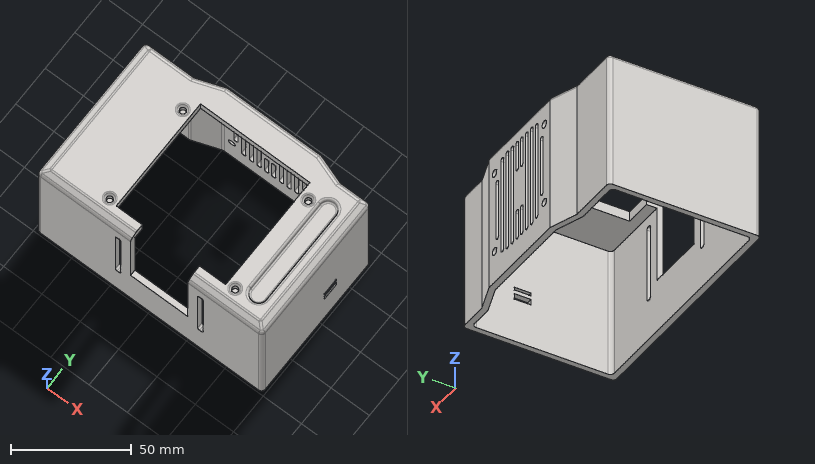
import cadquery as cq

WIDTH = 117.76
DEPTH = 78.15
HEIGHT = 68.0
WALL = 3.0
SIDE_WALL = 2.8
ROOF = 5.0
EDGE_RADIUS = 2.0

CENTRE_X = 5.0
BULGE_RISE = 4.8
BULGE_TOP_HALF = 24.5
BULGE_BASE_HALF = 38.3
BULGE_INNER_RADIUS = 4.0
BACK_Y = DEPTH - BULGE_RISE

BEVEL_DROP = 2.0
BEVEL_RUN = 4.0
REAR_BEVEL = 2.0

WINDOW_SIZE = 57.0
WINDOW_FRONT_Y = 8.0
NOTCH_WIDTH = 29.8
NOTCH_SILL_Z = 26.1

SCREW_DIAMETER = 3.0
SCREW_DEPTH = 4.0
SCREW_CHAMFER = 1.2
SCREW_RIM_RADIUS = 0.9
SCREW_PITCH_X = 65.5
SCREW_PITCH_Y = 49.5
SCREW_CENTRE_Y = 33.75

TRAY_X = 46.7
TRAY_CENTRE_Y = 36.8
TRAY_WIDTH = 8.1
TRAY_LENGTH = 55.1
TRAY_DEPTH = 2.1
TRAY_RIM_RADIUS = 1.2
TRAY_FLOOR_RADIUS = 0.8

FRONT_SLOT_WIDTH = 2.8
FRONT_SLOT_CORNER_RADIUS = 1.0
FRONT_SLOT_OFFSET = 21.5
FRONT_SLOT_BOTTOM = 20.1
FRONT_SLOT_TOP = 57.8

FAN_Z = 35.8
FAN_HOLE_DIAMETER = 3.5
FAN_HOLE_PITCH = 40.0
GRILLE_SLOT_WIDTH = 2.1
HUB_SLOT_OFFSET = 1.8
HUB_SLOT_INNER = 10.1
HUB_SLOT_OUTER = 24.8
GRILLE_SLOTS = [(5.8, 24.8), (9.8, 24.8), (13.8, 24.0), (17.9, 14.9)]

PORT_FRONT_Y = 42.0
PORT_BACK_Y = 50.0
PORT_LEVELS = [(21.6, 24.3), (26.2, 27.6)]


def block(x0, x1, y0, y1, z0, z1):
    """Axis-aligned box between two corners."""
    return cq.Workplane("XY").box(x1 - x0, y1 - y0, z1 - z0, centered=False).translate((x0, y0, z0))


def plan_outline(inset=0, side_inset=0):
    """Plan of the box with its rear bulge; front and rear move inwards by inset, sides by side_inset."""
    half = WIDTH / 2 - side_inset
    back = BACK_Y - inset
    return (
        cq.Workplane("XY")
        .moveTo(-half, inset)
        .lineTo(half, inset)
        .lineTo(half, back)
        .lineTo(CENTRE_X + BULGE_BASE_HALF, back)
        .lineTo(CENTRE_X + BULGE_TOP_HALF, back + BULGE_RISE)
        .lineTo(CENTRE_X - BULGE_TOP_HALF, back + BULGE_RISE)
        .lineTo(CENTRE_X - BULGE_BASE_HALF, back)
        .lineTo(-half, back)
        .close()
    )


def bevel_cutter(length):
    """Wedge that bevels the roof edge above the plane Y = 0, running along X."""
    return (
        cq.Workplane("YZ")
        .moveTo(0, HEIGHT - BEVEL_DROP)
        .lineTo(BEVEL_RUN, HEIGHT)
        .lineTo(0, HEIGHT)
        .close()
        .extrude(length / 2, both=True)
    )


def make_body():
    """Outer block with the bevel round its roof and rounded outer edges."""
    body = plan_outline().extrude(HEIGHT)
    rear_roof_edges = cq.selectors.BoxSelector(
        (-WIDTH, BACK_Y - EDGE_RADIUS, HEIGHT - ROOF), (WIDTH, DEPTH + EDGE_RADIUS, HEIGHT + ROOF)
    )
    body = body.faces(">Z").edges(rear_roof_edges).chamfer(REAR_BEVEL)

    body = body.cut(bevel_cutter(WIDTH))
    for side in (-1, 1):
        side_cutter = bevel_cutter(2 * DEPTH).rotate((0, 0, 0), (0, 0, 1), side * 90)
        body = body.cut(side_cutter.translate((side * WIDTH / 2, DEPTH / 2, 0)))

    def is_rounded(edge):
        centre = edge.Center()
        is_bottom = centre.z < EDGE_RADIUS
        near_side = abs(centre.x) > WIDTH / 2 - BEVEL_RUN
        is_vertical_or_hip = edge.BoundingBox().zlen > EDGE_RADIUS / 2
        return not is_bottom and (near_side or not is_vertical_or_hip)

    rounded_edges = [edge for edge in body.edges().vals() if is_rounded(edge)]
    return body.newObject(rounded_edges).fillet(EDGE_RADIUS)


def make_cavity():
    """Space inside the walls and roof, open at the bottom."""
    cavity = plan_outline(WALL, SIDE_WALL).extrude(HEIGHT - ROOF)
    cavity = cavity.edges("|Z and (<X or >X)").fillet(EDGE_RADIUS)

    def is_bulge_corner(edge):
        centre = edge.Center()
        return abs(centre.x - CENTRE_X) <= BULGE_BASE_HALF + EDGE_RADIUS and centre.y > DEPTH / 2

    bulge_corners = [edge for edge in cavity.edges("|Z").vals() if is_bulge_corner(edge)]
    return cavity.newObject(bulge_corners).fillet(BULGE_INNER_RADIUS)


def make_window():
    """Square window in the roof and the notch through the front wall below it."""
    half = WINDOW_SIZE / 2
    window = block(
        CENTRE_X - half, CENTRE_X + half,
        WINDOW_FRONT_Y, WINDOW_FRONT_Y + WINDOW_SIZE,
        HEIGHT - ROOF, HEIGHT,
    )
    notch = block(
        CENTRE_X - NOTCH_WIDTH / 2, CENTRE_X + NOTCH_WIDTH / 2,
        0, WINDOW_FRONT_Y,
        NOTCH_SILL_Z, HEIGHT,
    )
    return window.union(notch)


def rim_edges(body, x, y, size_x, size_y):
    """Roof-level edges lying wholly inside a rectangle centred on (x, y)."""
    tolerance = 0.1
    found = []
    for edge in body.faces(">Z").edges().vals():
        box = edge.BoundingBox()
        inside_x = box.xmin > x - size_x / 2 - tolerance and box.xmax < x + size_x / 2 + tolerance
        inside_y = box.ymin > y - size_y / 2 - tolerance and box.ymax < y + size_y / 2 + tolerance
        if inside_x and inside_y:
            found.append(edge)
    return body.newObject(found)


def cut_screw_holes(body):
    """Four blind holes with a countersink whose rim is rounded over."""
    hole_radius = SCREW_DIAMETER / 2
    sink_diameter = SCREW_DIAMETER + 2 * SCREW_CHAMFER
    for side_x in (-1, 1):
        for side_y in (-1, 1):
            x = CENTRE_X + side_x * SCREW_PITCH_X / 2
            y = SCREW_CENTRE_Y + side_y * SCREW_PITCH_Y / 2
            profile = (
                cq.Workplane("XZ", origin=(x, y, HEIGHT))
                .lineTo(sink_diameter / 2, 0)
                .lineTo(hole_radius, -SCREW_CHAMFER)
                .lineTo(hole_radius, -SCREW_DEPTH)
                .lineTo(0, -SCREW_DEPTH)
                .close()
            )
            body = body.cut(profile.revolve())
            body = rim_edges(body, x, y, sink_diameter, sink_diameter).fillet(SCREW_RIM_RADIUS)
    return body


def cut_tray(body):
    """Shallow round-ended tray with a rounded rim and a rounded floor edge."""
    tray = (
        cq.Workplane("XY", origin=(TRAY_X, TRAY_CENTRE_Y, HEIGHT))
        .slot2D(TRAY_LENGTH, TRAY_WIDTH, 90)
        .extrude(-TRAY_DEPTH)
        .faces("<Z")
        .edges()
        .fillet(TRAY_FLOOR_RADIUS)
    )
    body = body.cut(tray)
    return rim_edges(body, TRAY_X, TRAY_CENTRE_Y, TRAY_WIDTH, TRAY_LENGTH).fillet(TRAY_RIM_RADIUS)


def upright_slot(x, z_bottom, z_top, width, y_start, y_end):
    """Vertical slot with round ends, cut along Y."""
    return (
        cq.Workplane("XZ", origin=(x, y_start, (z_bottom + z_top) / 2))
        .slot2D(z_top - z_bottom, width, 90)
        .extrude(y_start - y_end)
    )


def make_front_slots():
    """One upright slot on each side of the notch."""
    slots = cq.Workplane("XY")
    for side in (-1, 1):
        x = CENTRE_X + side * FRONT_SLOT_OFFSET
        half_width = FRONT_SLOT_WIDTH / 2
        slot = block(x - half_width, x + half_width, 0, WALL, FRONT_SLOT_BOTTOM, FRONT_SLOT_TOP)
        slots = slots.add(slot.edges("|Y").fillet(FRONT_SLOT_CORNER_RADIUS))
    return slots.combine()


def make_fan_grille():
    """Grille slots and four fan screw holes through the rear bulge wall."""
    y_start = DEPTH - WALL
    cutters = cq.Workplane("XY")
    for side in (-1, 1):
        for offset, half_length in GRILLE_SLOTS:
            x = CENTRE_X + side * offset
            z_bottom = FAN_Z - half_length
            z_top = FAN_Z + half_length
            cutters = cutters.add(upright_slot(x, z_bottom, z_top, GRILLE_SLOT_WIDTH, y_start, DEPTH))
        hub_x = CENTRE_X + side * HUB_SLOT_OFFSET
        for low, high in ((HUB_SLOT_INNER, HUB_SLOT_OUTER), (-HUB_SLOT_OUTER, -HUB_SLOT_INNER)):
            hub_slot = upright_slot(hub_x, FAN_Z + low, FAN_Z + high, GRILLE_SLOT_WIDTH, y_start, DEPTH)
            cutters = cutters.add(hub_slot)
    fan_holes = (
        cq.Workplane("XZ", origin=(CENTRE_X, y_start, FAN_Z))
        .rect(FAN_HOLE_PITCH, FAN_HOLE_PITCH, forConstruction=True)
        .vertices()
        .circle(FAN_HOLE_DIAMETER / 2)
        .extrude(-WALL)
    )
    return cutters.add(fan_holes).combine()


def make_ports():
    """Two stacked rectangular openings through the +X wall."""
    ports = cq.Workplane("XY")
    for z_bottom, z_top in PORT_LEVELS:
        ports = ports.add(
            block(WIDTH / 2 - SIDE_WALL, WIDTH / 2, PORT_FRONT_Y, PORT_BACK_Y, z_bottom, z_top)
        )
    return ports.combine()


body = cut_tray(cut_screw_holes(make_body()))
result = (
    body.cut(make_cavity())
    .cut(make_window())
    .cut(make_front_slots())
    .cut(make_fan_grille())
    .cut(make_ports())
)